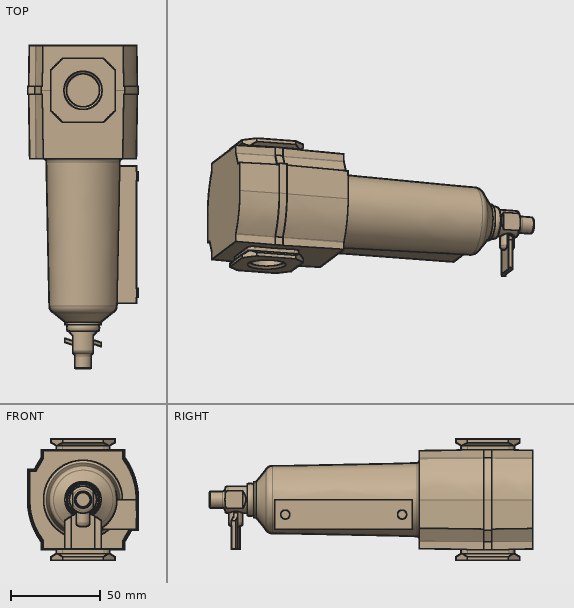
import cadquery as cq
import math

OVERALL_WIDTH = 62.3
OVERALL_LENGTH = 181.5
OVERALL_HEIGHT = 68.0

HEAD_BACK = 25.2
HEAD_FRONT = -38.5
HEAD_HALF_HEIGHT = 28.1
HEAD_DRAFT = 0.9
CHEEK_X = 22.9
CHEEK_Z = 23.5
PAD_Z = 16.5
PAD_ROOT_X = 26.9
RIB_HEIGHT = 0.5
RIB_WIDTH = 4.5
PAD_X = OVERALL_WIDTH / 2 - RIB_HEIGHT

FLANGE_HALF = 18.0
FLANGE_CORNER_CUT = 6.5
FLANGE_TOP = OVERALL_HEIGHT / 2
FLANGE_BOTTOM = 30.3
FLANGE_EDGE = 2.0
NECK_HALF = 15.0
NECK_ROOT = HEAD_HALF_HEIGHT - 1.8
NECK_CORNER_RADIUS = 3.5
PORT_RADIUS = 9.3
PORT_CHAMFER = 1.5
PORT_DEPTH = 21.8

COLLAR_RADIUS = 22.1
COLLAR_FILLET = 1.5
BOWL_TOP_RADIUS = COLLAR_RADIUS - COLLAR_FILLET
BOWL_BOTTOM_RADIUS = 19.0
BOWL_TAPER_END = -120.9
SHOULDER_RADIUS = 16.7
SHOULDER_Y = -124.7
CONE_RADIUS = 10.2
CONE_END = -130.0
BOWL_END = -131.4

GAUGE_X = 30.1
GAUGE_DROP = 16.7
GAUGE_BACK = -42.3
GAUGE_FRONT = -119.5
SCREW_RADIUS = 2.5
SCREW_END_X = 31.0
SCREW_INSET = 5.8

VALVE_TIP = HEAD_BACK - OVERALL_LENGTH
BEAD_NECK_RADIUS = 8.7
BEAD_RADIUS = 9.3
BEAD_END = -135.0
BARREL_RADIUS = 7.6
BARREL_FLAT_X = 5.8
FLAT_START = -137.5
BARREL_SHOULDER = -146.0
TIP_RADIUS = 4.7
TIP_CHAMFER = 0.7

STEM_Y = -141.4
STEM_RADIUS = 4.0
STEM_BOTTOM = -15.0
STEM_FILLET = 2.0
LEVER_THICKNESS = 2.4
LEVER_WING_SHIFT = 1.3
LEVER_HALF_WIDTH = 10.3
LEVER_BEND_X = 6.7
LEVER_BOTTOM = -27.8
LEVER_SHOULDER_Z = -11.8
LEVER_TOP_Z = -7.0
LEVER_TOP_HALF_WIDTH = 3.5


def xz_plane(y):
    """Plane across the filter axis at y, with local axes X and Z; extrusion runs toward -Y."""
    return cq.Workplane("XZ", origin=(0, y, 0))


def head_outline():
    """Outline at the parting plane with half-turn symmetry: each side is an arc that gives way to a flat pad."""
    sagitta = PAD_X - CHEEK_X
    arc_radius = (sagitta**2 + CHEEK_Z**2) / (2 * sagitta)
    arc_mid_z = CHEEK_Z / 2
    arc_mid_x = PAD_X - arc_radius + math.sqrt(arc_radius**2 - arc_mid_z**2)
    return (
        xz_plane(0)
        .moveTo(CHEEK_X, HEAD_HALF_HEIGHT)
        .lineTo(CHEEK_X, CHEEK_Z)
        .threePointArc((arc_mid_x, arc_mid_z), (PAD_X, 0))
        .lineTo(PAD_X, -PAD_Z)
        .lineTo(PAD_ROOT_X, -PAD_Z)
        .lineTo(CHEEK_X, -CHEEK_Z)
        .lineTo(CHEEK_X, -HEAD_HALF_HEIGHT)
        .lineTo(-CHEEK_X, -HEAD_HALF_HEIGHT)
        .lineTo(-CHEEK_X, -CHEEK_Z)
        .threePointArc((-arc_mid_x, -arc_mid_z), (-PAD_X, 0))
        .lineTo(-PAD_X, PAD_Z)
        .lineTo(-PAD_ROOT_X, PAD_Z)
        .lineTo(-CHEEK_X, CHEEK_Z)
        .lineTo(-CHEEK_X, HEAD_HALF_HEIGHT)
        .close()
    )


def make_head_half(length, rib_length):
    """Drafted half of the head on one side of the parting plane, with its half of the side rib.

    Positive lengths run toward the bowl and negative ones toward the back.
    """
    block = head_outline().extrude(length, taper=HEAD_DRAFT)
    rib_limit = (
        xz_plane(0)
        .rect(2 * OVERALL_WIDTH, 2 * HEAD_HALF_HEIGHT)
        .extrude(rib_length, taper=HEAD_DRAFT)
    )
    rib = (
        head_outline()
        .offset2D(RIB_HEIGHT, "intersection")
        .extrude(rib_length)
        .intersect(rib_limit)
    )
    return block.union(rib)


def make_port_flange():
    """Square flange on a rounded neck, chamfered underneath, with its corners cut off."""
    neck = (
        cq.Workplane("XY", origin=(0, 0, NECK_ROOT))
        .rect(2 * NECK_HALF, 2 * NECK_HALF)
        .extrude(FLANGE_BOTTOM - NECK_ROOT)
        .edges("|Z")
        .fillet(NECK_CORNER_RADIUS)
    )
    thickness = FLANGE_TOP - FLANGE_BOTTOM
    plate = (
        cq.Workplane("XY", origin=(0, 0, FLANGE_BOTTOM))
        .rect(2 * FLANGE_HALF, 2 * FLANGE_HALF)
        .extrude(thickness)
        .faces("<Z")
        .chamfer(thickness - FLANGE_EDGE, FLANGE_HALF - NECK_HALF)
    )
    octagon = (
        cq.Workplane("XY", origin=(0, 0, FLANGE_BOTTOM))
        .rect(2 * FLANGE_HALF, 2 * FLANGE_HALF)
        .extrude(thickness)
        .edges("|Z")
        .chamfer(FLANGE_CORNER_CUT)
    )
    return neck.union(plate.intersect(octagon))


def make_port_hole():
    """Blind port bore with a chamfered mouth."""
    return (
        cq.Workplane("XZ")
        .moveTo(0, FLANGE_TOP)
        .lineTo(PORT_RADIUS + PORT_CHAMFER, FLANGE_TOP)
        .lineTo(PORT_RADIUS, FLANGE_TOP - PORT_CHAMFER)
        .lineTo(PORT_RADIUS, FLANGE_TOP - PORT_DEPTH)
        .lineTo(0, FLANGE_TOP - PORT_DEPTH)
        .close()
        .revolve(360, (0, 0, 0), (0, 1, 0))
    )


def make_head():
    front_half = make_head_half(-HEAD_FRONT, RIB_WIDTH / 2)
    back_half = make_head_half(-HEAD_BACK, -RIB_WIDTH / 2)
    head = front_half.union(back_half)
    flange = make_port_flange()
    port = make_port_hole()
    for turn in (0, 180):
        head = head.union(flange.rotate((0, 0, 0), (1, 0, 0), turn))
        head = head.cut(port.rotate((0, 0, 0), (1, 0, 0), turn))
    return head


def make_bowl_shell():
    """Tapered cup with a flared collar at the head and a rounded shoulder and cone at its end."""
    collar_end = HEAD_FRONT - COLLAR_FILLET
    flare = COLLAR_FILLET * (1 - math.sqrt(0.5))
    return (
        cq.Workplane("XY")
        .moveTo(0, HEAD_FRONT)
        .lineTo(COLLAR_RADIUS, HEAD_FRONT)
        .threePointArc((BOWL_TOP_RADIUS + flare, HEAD_FRONT - flare), (BOWL_TOP_RADIUS, collar_end))
        .lineTo(BOWL_BOTTOM_RADIUS, BOWL_TAPER_END)
        .tangentArcPoint((SHOULDER_RADIUS, SHOULDER_Y), relative=False)
        .lineTo(CONE_RADIUS, CONE_END)
        .lineTo(CONE_RADIUS, BOWL_END)
        .lineTo(0, BOWL_END)
        .close()
        .revolve(360, (0, 0, 0), (0, 1, 0))
    )


def make_bowl():
    gauge = (
        xz_plane(GAUGE_BACK)
        .rect(GAUGE_X, -GAUGE_DROP, centered=False)
        .extrude(GAUGE_BACK - GAUGE_FRONT)
    )
    screws = (
        cq.Workplane("YZ", origin=(GAUGE_X, 0, -GAUGE_DROP / 2))
        .pushPoints([(GAUGE_BACK - SCREW_INSET, 0), (GAUGE_FRONT + SCREW_INSET, 0)])
        .circle(SCREW_RADIUS)
        .extrude(SCREW_END_X - GAUGE_X)
    )
    return make_bowl_shell().union(gauge).union(screws)


def make_valve_barrel():
    """Turned barrel with a rounded bead, two side flats and an S-shaped step down to its tip."""
    step_radius = (BARREL_RADIUS - TIP_RADIUS) / 2
    barrel = (
        cq.Workplane("XY")
        .moveTo(0, BOWL_END)
        .lineTo(BEAD_NECK_RADIUS, BOWL_END)
        .threePointArc((BEAD_RADIUS, (BOWL_END + BEAD_END) / 2), (BEAD_NECK_RADIUS, BEAD_END))
        .lineTo(BARREL_RADIUS, BEAD_END)
        .lineTo(BARREL_RADIUS, BARREL_SHOULDER)
        .radiusArc((BARREL_RADIUS - step_radius, BARREL_SHOULDER - step_radius), step_radius)
        .radiusArc((TIP_RADIUS, BARREL_SHOULDER - 2 * step_radius), -step_radius)
        .lineTo(TIP_RADIUS, VALVE_TIP + TIP_CHAMFER)
        .lineTo(TIP_RADIUS - TIP_CHAMFER, VALVE_TIP)
        .lineTo(0, VALVE_TIP)
        .close()
        .revolve(360, (0, 0, 0), (0, 1, 0))
    )
    flat_cut = (
        cq.Workplane("XY", origin=(0, 0, -BEAD_RADIUS))
        .moveTo(BARREL_FLAT_X, VALVE_TIP)
        .lineTo(BARREL_FLAT_X, FLAT_START)
        .lineTo(BARREL_FLAT_X + BEAD_END - FLAT_START, BEAD_END)
        .lineTo(2 * BEAD_RADIUS, BEAD_END)
        .lineTo(2 * BEAD_RADIUS, VALVE_TIP)
        .close()
        .extrude(2 * BEAD_RADIUS)
    )
    return barrel.cut(flat_cut).cut(flat_cut.mirror("YZ"))


def make_lever():
    """Plate with two wings bent opposite ways, narrowing toward the stem at its top."""
    centerline = [
        (-LEVER_HALF_WIDTH, LEVER_WING_SHIFT),
        (-LEVER_BEND_X, 0),
        (LEVER_BEND_X, 0),
        (LEVER_HALF_WIDTH, -LEVER_WING_SHIFT),
    ]
    half = LEVER_THICKNESS / 2
    section = [(x, y + half) for x, y in centerline] + [(x, y - half) for x, y in reversed(centerline)]
    plate = (
        cq.Workplane("XY", origin=(0, STEM_Y, LEVER_BOTTOM))
        .polyline(section)
        .close()
        .extrude(LEVER_TOP_Z - LEVER_BOTTOM)
    )
    depth = LEVER_THICKNESS + 2 * LEVER_WING_SHIFT
    outline = (
        xz_plane(STEM_Y + depth / 2)
        .moveTo(-LEVER_HALF_WIDTH, LEVER_BOTTOM)
        .lineTo(LEVER_HALF_WIDTH, LEVER_BOTTOM)
        .lineTo(LEVER_HALF_WIDTH, LEVER_SHOULDER_Z)
        .lineTo(LEVER_TOP_HALF_WIDTH, LEVER_TOP_Z)
        .lineTo(-LEVER_TOP_HALF_WIDTH, LEVER_TOP_Z)
        .lineTo(-LEVER_HALF_WIDTH, LEVER_SHOULDER_Z)
        .close()
        .extrude(depth)
    )
    return plate.intersect(outline)


def make_drain_valve():
    stem = (
        cq.Workplane("XY", origin=(0, STEM_Y, 0))
        .circle(STEM_RADIUS)
        .extrude(STEM_BOTTOM)
        .faces("<Z")
        .fillet(STEM_FILLET)
    )
    return make_valve_barrel().union(stem).union(make_lever())


head = make_head()
bowl = make_bowl()
drain_valve = make_drain_valve()

result = cq.Compound.makeCompound([head.val(), bowl.val(), drain_valve.val()])